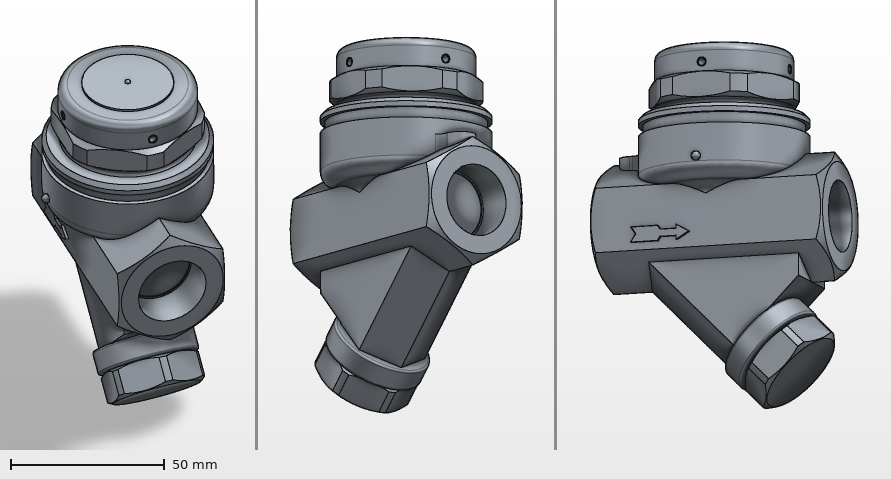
import cadquery as cq
import math

BEVEL_SLOPE = math.tan(math.radians(30))

body_length = 80.0
body_flats = 37.0
body_face_dia = 35.6
port_dia = 23.5
port_depth = 13.0
port_floor_dia = 22.3
port_floor_depth = 0.5

chamber_dia = 56.0
neck_dia = body_flats
neck_fillet = 4.0
chamber_bottom = 10.8
chamber_fillet = 5.0
groove_bottom = 28.4
groove_top = 32.2
groove_dia = 53.0
chamber_top = 35.3
rim_chamfer = 1.4

pad_width = 10.1
pad_reach = 35.9
pad_bottom = 13.2
pad_top = 23.2
pad_fillet = 3.0

stud_dia = 3.0
stud_reach = 30.0
stud_height = 17.5

arrow_relief = 1.0
arrow_middle = -5.5
arrow_tail = -25.5
arrow_notch = -23.9
arrow_shoulder = -16.3
arrow_shaft_start = -15.5
arrow_head_start = -10.0
arrow_tip = -5.5
arrow_half_width = 2.5
arrow_shaft_half_width = 1.2

leg_start_x = -24.7
leg_flats = 26.0
leg_end = 54.0
wedge_end = 53.8
wedge_side_x = 30.1
collar_dia = 34.0
collar_end = 61.8
collar_fillet = 0.7
plug_flats = 30.0
plug_corner_dia = 33.2
plug_face_dia = 29.5
plug_end = 72.1

cap_dia = 45.5
cap_top = 56.4
cap_fillet = 3.0
cap_hex_bottom = 37.9
cap_hex_top = 46.5
cap_hex_flats = 46.0
cap_corner_dia = 50.0
cap_waist_dia = 43.1
cap_foot_dia = 45.0
cap_hole_mouth_dia = 3.0
cap_hole_mouth_depth = 0.4
cap_hole_dia = 2.4
cap_hole_height = 49.7
cap_hole_count = 4
plate_dia = 30.0
plate_thickness = 0.7
pin_radius = 1.0
pin_height = 0.8

pipe_plane = cq.Plane(origin=(-body_length / 2, 0, 0), xDir=(0, 0, 1), normal=(1, 0, 0))
leg_plane = cq.Plane(origin=(leg_start_x, 0, 0), xDir=(1, 0, 1), normal=(1, 0, -1))


def corner_dia(across_flats):
    """Diameter through the sharp corners of a hexagon."""
    return across_flats / math.cos(math.pi / 6)


def hexagon(plane, across_flats, start, end):
    """Hexagonal prism along the plane normal, with a pair of flats facing +Y and -Y."""
    prism = cq.Workplane(plane).workplane(offset=start)
    return prism.polygon(6, corner_dia(across_flats)).extrude(end - start)


def disc(plane, diameter, start, end):
    """Cylinder along the plane normal."""
    return cq.Workplane(plane).workplane(offset=start).circle(diameter / 2).extrude(end - start)


def bevelled_hexagon(plane, across_flats, start, end, turned_dia, face_dia):
    """Hexagon whose corners are turned to turned_dia and bevelled down to face_dia at both ends."""
    turned_radius = turned_dia / 2
    face_radius = face_dia / 2
    bevel_length = (turned_radius - face_radius) * BEVEL_SLOPE
    profile_plane = cq.Plane(origin=plane.origin, xDir=plane.xDir, normal=plane.yDir * -1)
    turned = (
        cq.Workplane(profile_plane)
        .moveTo(0, start)
        .lineTo(face_radius, start)
        .lineTo(turned_radius, start + bevel_length)
        .lineTo(turned_radius, end - bevel_length)
        .lineTo(face_radius, end)
        .lineTo(0, end)
        .close()
        .revolve(360, (0, 0), (0, 1))
    )
    return hexagon(plane, across_flats, start, end).intersect(turned)


def make_chamber():
    """Turned chamber, from the filleted neck inside the pipe section up to the rim."""
    radius = chamber_dia / 2
    neck_radius = neck_dia / 2
    diagonal = 1 - math.sqrt(0.5)
    return (
        cq.Workplane("XZ")
        .lineTo(neck_radius, 0)
        .lineTo(neck_radius, chamber_bottom - neck_fillet)
        .threePointArc(
            (neck_radius + neck_fillet * diagonal, chamber_bottom - neck_fillet * diagonal),
            (neck_radius + neck_fillet, chamber_bottom),
        )
        .lineTo(radius - chamber_fillet, chamber_bottom)
        .threePointArc(
            (radius - chamber_fillet * diagonal, chamber_bottom + chamber_fillet * diagonal),
            (radius, chamber_bottom + chamber_fillet),
        )
        .lineTo(radius, groove_bottom)
        .lineTo(groove_dia / 2, groove_bottom)
        .lineTo(groove_dia / 2, groove_top)
        .lineTo(radius, groove_top)
        .lineTo(radius, chamber_top - rim_chamfer)
        .lineTo(radius - rim_chamfer, chamber_top)
        .lineTo(0, chamber_top)
        .close()
        .revolve(360, (0, 0), (0, 1))
    )


def make_pad():
    """Round-ended pad blended into the chamber wall by a fillet on each side."""
    chamber_radius = chamber_dia / 2
    half_width = pad_width / 2
    end_centre_x = half_width - pad_reach
    blend_y = half_width + pad_fillet
    blend_x = -math.sqrt((chamber_radius + pad_fillet) ** 2 - blend_y ** 2)
    touch = chamber_radius / (chamber_radius + pad_fillet)
    blend_angle = (math.pi / 2 + math.atan2(blend_y, -blend_x)) / 2
    blend_mid_x = blend_x + pad_fillet * math.cos(blend_angle)
    blend_mid_y = blend_y - pad_fillet * math.sin(blend_angle)
    return (
        cq.Workplane("XY")
        .workplane(offset=pad_bottom)
        .moveTo(0, blend_y * touch)
        .lineTo(blend_x * touch, blend_y * touch)
        .threePointArc((blend_mid_x, blend_mid_y), (blend_x, half_width))
        .lineTo(end_centre_x, half_width)
        .threePointArc((-pad_reach, 0), (end_centre_x, -half_width))
        .lineTo(blend_x, -half_width)
        .threePointArc((blend_mid_x, -blend_mid_y), (blend_x * touch, -blend_y * touch))
        .lineTo(0, -blend_y * touch)
        .close()
        .extrude(pad_top - pad_bottom)
    )


def make_stud():
    """Stud on the -Y side of the chamber, ending in a hemisphere."""
    radius = stud_dia / 2
    shank_end = stud_reach - radius
    shank = cq.Workplane("XZ", origin=(0, 0, stud_height)).circle(radius).extrude(shank_end)
    return shank.union(cq.Workplane("XY").sphere(radius).translate((0, -shank_end, stud_height)))


def make_arrow():
    """Raised arrow pointing from the inlet to the outlet."""
    upper = [
        (arrow_notch, 0),
        (arrow_tail, arrow_half_width),
        (arrow_shoulder, arrow_half_width),
        (arrow_shaft_start, arrow_shaft_half_width),
        (arrow_head_start, arrow_shaft_half_width),
        (arrow_head_start, arrow_half_width),
        (arrow_tip, 0),
    ]
    outline = cq.Workplane("XZ", origin=(0, -body_flats / 2, arrow_middle)).polyline(upper)
    return outline.mirrorX().extrude(arrow_relief)


def make_strainer_leg():
    """Hexagonal leg, with the wedge between it and the pipe filled to the width of its flats."""
    leg = hexagon(leg_plane, leg_flats, 0, leg_end)
    flat_half_width = corner_dia(leg_flats) / 4
    lower_start_x = leg_start_x - flat_half_width * math.sqrt(2)
    end_middle = leg_plane.toWorldCoords((0, 0, wedge_end))
    lower_end = leg_plane.toWorldCoords((-flat_half_width, 0, wedge_end))
    end_face_z = end_middle.z + wedge_side_x - end_middle.x
    wedge = (
        cq.Workplane("XZ")
        .moveTo(lower_start_x, 0)
        .lineTo(lower_end.x, lower_end.z)
        .lineTo(wedge_side_x, end_face_z)
        .lineTo(wedge_side_x, 0)
        .close()
        .extrude(leg_flats / 2, both=True)
    )
    return leg.union(wedge)


def make_strainer_end():
    """Round-edged collar and the bevelled hexagon below it."""
    collar = disc(leg_plane, collar_dia, leg_end, collar_end)
    collar = collar.edges().fillet(collar_fillet)
    plug_hex = bevelled_hexagon(
        leg_plane, plug_flats, collar_end, plug_end, plug_corner_dia, plug_face_dia
    )
    return collar.union(plug_hex)


def cut_ports(body):
    """Blind stepped port in each end of the pipe section."""
    floor = port_depth + port_floor_depth
    port = disc(pipe_plane, port_dia, 0, port_depth)
    port = port.union(disc(pipe_plane, port_floor_dia, port_depth, floor))
    return body.cut(port).cut(port.mirror("YZ"))


def make_body():
    body = bevelled_hexagon(
        pipe_plane, body_flats, 0, body_length, corner_dia(body_flats), body_face_dia
    )
    for feature in (
        make_chamber(), make_pad(), make_stud(), make_arrow(), make_strainer_leg(), make_strainer_end()
    ):
        body = body.union(feature)
    return cut_ports(body)


def make_cap_foot():
    """Waisted foot between the chamber rim and the cap hexagon."""
    return (
        cq.Workplane("XZ")
        .moveTo(0, chamber_top)
        .lineTo(cap_foot_dia / 2, chamber_top)
        .threePointArc(
            (cap_waist_dia / 2, (chamber_top + cap_hex_bottom) / 2),
            (cap_dia / 2, cap_hex_bottom),
        )
        .lineTo(0, cap_hex_bottom)
        .close()
        .revolve(360, (0, 0), (0, 1))
    )


def cut_cap_holes(cap):
    """Round-bottomed holes with a wider mouth, spaced around the cap wall."""
    wall_radius = cap_dia / 2
    step_radius = wall_radius - cap_hole_mouth_depth
    hole_radius = cap_hole_dia / 2
    diagonal = hole_radius * math.sqrt(0.5)
    hole = (
        cq.Workplane("XY", origin=(0, 0, cap_hole_height))
        .moveTo(step_radius - hole_radius, 0)
        .threePointArc((step_radius - diagonal, diagonal), (step_radius, hole_radius))
        .lineTo(step_radius, cap_hole_mouth_dia / 2)
        .lineTo(wall_radius + hole_radius, cap_hole_mouth_dia / 2)
        .lineTo(wall_radius + hole_radius, 0)
        .close()
        .revolve(360, (0, 0), (1, 0))
    )
    for i in range(cap_hole_count):
        cap = cap.cut(hole.rotate((0, 0, 0), (0, 0, 1), i * 360 / cap_hole_count))
    return cap


def make_plate():
    """Round plate with a domed pin at its middle."""
    plate_top = cap_top + plate_thickness
    plate = disc(cq.Plane.XY(), plate_dia, cap_top, plate_top)
    pin = cq.Workplane("XY").sphere(pin_radius)
    return plate.union(pin.translate((0, 0, plate_top + pin_height - pin_radius)))


def make_cap():
    cap = disc(cq.Plane.XY(), cap_dia, cap_hex_top, cap_top)
    cap = cut_cap_holes(cap.faces(">Z").edges().fillet(cap_fillet))
    nut = bevelled_hexagon(
        cq.Plane.XY(), cap_hex_flats, cap_hex_bottom, cap_hex_top, cap_corner_dia, cap_dia
    )
    return cap.union(nut).union(make_cap_foot()).union(make_plate())


body = make_body()
cap = make_cap()
result = cq.Compound.makeCompound([body.val(), cap.val()])